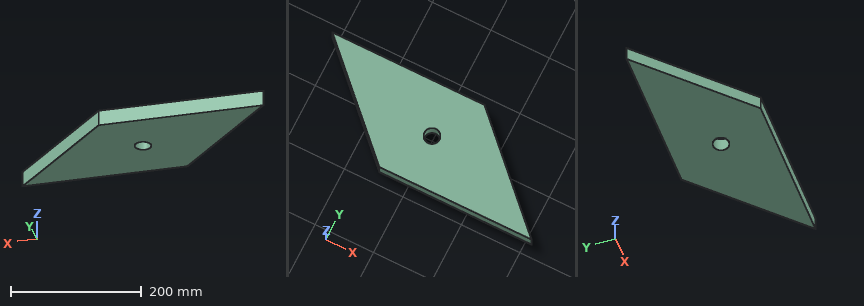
import cadquery as cq
import math

long_side = 260.35
slanted_side = 228.6
slant_angle = 45.0
thickness = 25.4
hole_diameter = 25.4

slant_run = slanted_side * math.cos(math.radians(slant_angle))
depth = slanted_side * math.sin(math.radians(slant_angle))
half_length = (long_side + slant_run) / 2
half_depth = depth / 2


def make_plate():
    """Parallelogram plate centred on the origin, mid-plane at Z = 0."""
    corners = [
        (half_length, -half_depth),
        (half_length - slant_run, half_depth),
        (-half_length, half_depth),
        (-half_length + slant_run, -half_depth),
    ]
    return cq.Workplane("XY").polyline(corners).close().extrude(thickness / 2, both=True)


def drill_center_hole(plate):
    """Through hole at the centre of the plate."""
    return plate.faces(">Z").workplane(origin=(0, 0, 0)).hole(hole_diameter)


result = drill_center_hole(make_plate())